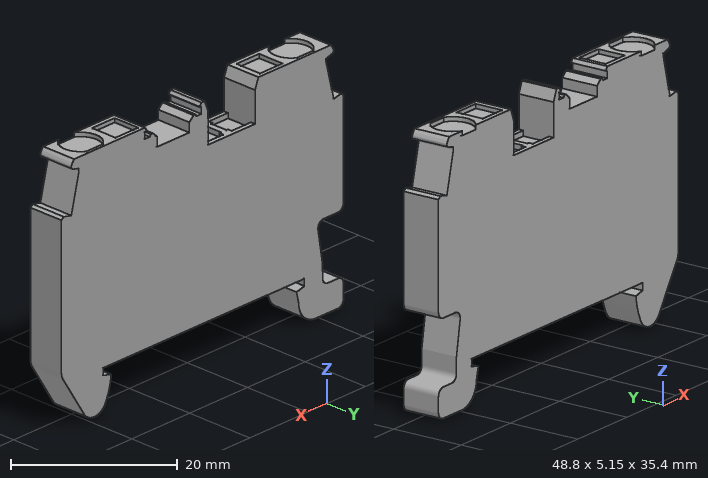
import cadquery as cq
import math

length = 48.8
thickness = 5.15
height = 35.4
half_length = length / 2
half_thickness = thickness / 2

head_flat_end = 22.2
head_bevel_x = 22.5
head_bevel_z = 35.0
head_round_x = 22.65
head_round_z = 34.7
head_tip_x = 22.7
head_tip_z = 34.45
lip_x = 22.35
lip_z = 34.1
neck_x = 21.35
neck_top_z = 33.8
neck_bottom_z = 33.5
groove_x = 22.7
groove_z = 28.05
shoulder_peak_x = 24.0
shoulder_peak_z = 28.35
shoulder_z = 28.0

slot_left = -9.1
slot_right = -1.0
slot_floor_z = 29.4
slot_bevel_width = 0.6
slot_bevel_z = 33.85

recess_center_x = 5.08
recess_half_width = 4.9
recess_ledge_z = 33.85
barb_reach = 0.35
barb_tip_z = 34.9
barb_root_z = 34.75
bead_outer = 4.05
bead_top_outer = 3.85
bead_top_inner = 3.5
bead_z = 34.15
recess_floor_half_width = 2.8
recess_floor_z = 32.1
recess_wall_top_z = 33.5

gap_top_z = 12.75
gap_depth_x = -19.8
stem_x = -20.75
stem_slope_end_z = 7.1
foot_top_z = 4.0
foot_corner_radius = 1.0

rail_top_z = 5.95
hook_root_z = 5.0
hook_tip_z = 4.65
left_seat_x = -17.6
right_seat_x = 17.15
hook_reach = 1.35
left_hook_radius = 3.0
left_hook_center_x = -19.6

right_flank_mid = (16.1, 2.85)
right_flank_end = (16.7, 1.3)
right_nose_mid = (18.65, 0.0)
right_nose_end = (20.4, 0.85)
right_slope_top_z = 7.25
right_slope_radius = 1.95

head_recess_depth = 0.6
round_x = 18.2
round_y = -0.2
round_radius = 2.75
round_flat_y = 2.15
square_x = 12.5
square_y = 0.05
square_side = 3.9

pocket_depth = 0.75
pocket_half_width = 1.9
pocket_tongue_half_width = 1.25
pocket_tongue_length = 0.3
left_pocket_end = -5.75
right_pocket_end = -4.3


def end_points(side):
    """Points from the shoulder up to the underside of the head; side is -1 or 1."""
    points = [
        (half_length, shoulder_z),
        (shoulder_peak_x, shoulder_peak_z),
        (groove_x, groove_z),
        (neck_x, neck_bottom_z),
        (neck_x, neck_top_z),
        (lip_x, lip_z),
    ]
    return [(side * x, z) for x, z in points]


def recess_points(side):
    """Points of one half of the marker recess, from the top down to its floor."""
    offsets = [
        (recess_half_width, height),
        (recess_half_width - barb_reach, barb_tip_z),
        (recess_half_width, barb_root_z),
        (recess_half_width, recess_ledge_z),
        (bead_outer, recess_ledge_z),
        (bead_top_outer, bead_z),
        (bead_top_inner, bead_z),
        (recess_floor_half_width, recess_wall_top_z),
        (recess_floor_half_width, recess_floor_z),
    ]
    return [(recess_center_x + side * dx, z) for dx, z in offsets]


def draw_through(sketch, points):
    for x, z in points:
        sketch = sketch.lineTo(x, z)
    return sketch


def make_body():
    slot_points = [
        (slot_left - slot_bevel_width, height),
        (slot_left, slot_bevel_z),
        (slot_left, slot_floor_z),
        (slot_right, slot_floor_z),
        (slot_right, slot_bevel_z),
        (slot_right + slot_bevel_width, height),
    ]
    foot_points = [
        (-half_length, 0),
        (-half_length, foot_top_z),
        (stem_x, foot_top_z),
        (stem_x, stem_slope_end_z),
        (gap_depth_x, gap_top_z),
        (-half_length, gap_top_z),
    ]

    sketch = cq.Workplane("XZ").moveTo(left_hook_center_x, 0)
    sketch = draw_through(sketch, foot_points + end_points(-1))
    sketch = sketch.threePointArc((-head_tip_x, head_tip_z), (-head_round_x, head_round_z))
    sketch = sketch.lineTo(-head_bevel_x, head_bevel_z).lineTo(-head_flat_end, height)
    sketch = draw_through(sketch, slot_points)
    sketch = draw_through(sketch, recess_points(-1) + recess_points(1)[::-1])
    sketch = sketch.lineTo(head_flat_end, height).lineTo(head_bevel_x, head_bevel_z)
    sketch = sketch.lineTo(head_round_x, head_round_z)
    sketch = sketch.threePointArc((head_tip_x, head_tip_z), (lip_x, lip_z))
    sketch = draw_through(sketch, end_points(1)[-2::-1])
    sketch = sketch.lineTo(half_length, right_slope_top_z).lineTo(*right_nose_end)
    sketch = sketch.threePointArc(right_nose_mid, right_flank_end)
    sketch = sketch.threePointArc(right_flank_mid, (right_seat_x - hook_reach, hook_tip_z))
    seat_points = [
        (right_seat_x, hook_root_z),
        (right_seat_x, rail_top_z),
        (left_seat_x, rail_top_z),
        (left_seat_x, hook_root_z),
        (left_seat_x + hook_reach, hook_tip_z),
        (left_hook_center_x + left_hook_radius, left_hook_radius),
    ]
    sketch = draw_through(sketch, seat_points)
    arc_offset = left_hook_radius * math.sqrt(0.5)
    arc_mid = (left_hook_center_x + arc_offset, left_hook_radius - arc_offset)
    sketch = sketch.threePointArc(arc_mid, (left_hook_center_x, 0)).close()
    return sketch.extrude(half_thickness, both=True)


def round_corners(body):
    corners = [
        (-half_length, 0, foot_corner_radius),
        (-half_length, foot_top_z, foot_corner_radius),
        (stem_x, foot_top_z, foot_corner_radius),
        (gap_depth_x, gap_top_z, foot_corner_radius),
        (-half_length, gap_top_z, foot_corner_radius),
        (half_length, right_slope_top_z, right_slope_radius),
    ]
    for x, z, radius in corners:
        corner_edge = cq.NearestToPointSelector((x, 0, z))
        body = body.edges("|Y").edges(corner_edge).fillet(radius)
    return body


def head_recesses(side):
    """Round recess with one flat side and a square recess, on one head."""
    floor = cq.Workplane("XY").workplane(offset=height - head_recess_depth)
    disc = floor.center(side * round_x, round_y).circle(round_radius).extrude(head_recess_depth)
    keep_width = round_flat_y + thickness
    keep = (
        floor.center(side * round_x, round_flat_y - keep_width / 2)
        .rect(2 * round_radius, keep_width)
        .extrude(head_recess_depth)
    )
    square = (
        floor.center(side * square_x, square_y)
        .rect(square_side, square_side)
        .extrude(head_recess_depth)
    )
    return disc.intersect(keep).union(square)


def slot_pocket(wall_x, end_x, direction):
    """Pocket from a slot wall to end_x, with a narrower tongue beyond it."""
    tongue_x = end_x + direction * pocket_tongue_length
    half_outline = [
        (wall_x, pocket_half_width),
        (end_x, pocket_half_width),
        (end_x, pocket_tongue_half_width),
        (tongue_x, pocket_tongue_half_width),
    ]
    mirrored = [(x, -y) for x, y in reversed(half_outline)]
    floor = cq.Workplane("XY").workplane(offset=slot_floor_z - pocket_depth)
    return floor.polyline(half_outline + mirrored).close().extrude(pocket_depth)


result = round_corners(make_body())
for end_side in (-1, 1):
    result = result.cut(head_recesses(end_side))
result = result.cut(slot_pocket(slot_left, left_pocket_end, 1))
result = result.cut(slot_pocket(slot_right, right_pocket_end, -1))